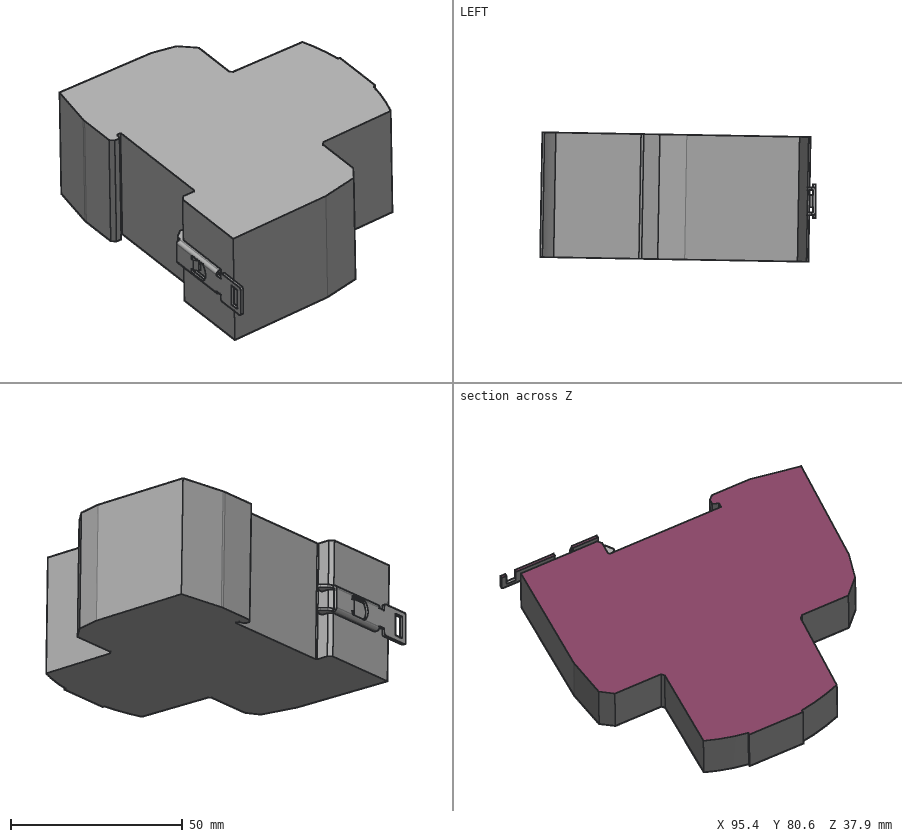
import cadquery as cq
import math

TILT_DEG = 1.0
HOUSING_DEPTH = 36.51
SIDE_DRAFT = math.tan(math.radians(1.0))

SLOT_LEFT_X = -17.65
SLOT_RIGHT_X = 18.83
SLOT_FLOOR_CHAMFER = 0.35
LIP_TIP_X = -15.75
LIP_ROOT_Y = -1.25
LIP_TIP_Y = -1.85
LIP_CHAMFER = 1.2
LEFT_BASE_Y = -4.75
RIGHT_BASE_Y = -5.36
RIGHT_BASE_CHAMFER = 1.15
BASE_BREAK_X = -29.45
BASE_BREAK_RADIUS = 5.0
BASE_SLOPE = math.tan(math.radians(9.7))

LEFT_BASE_X = -44.85
RIGHT_BASE_X = 44.8
LEFT_FLANK_TOP_Y = 30.9
RIGHT_FLANK_TOP_Y = 28.7
LEFT_CORNER = (-42.5, 38.7)
RIGHT_CORNER = (41.9, 40.7)
SHOULDER_Y = 43.4
SHOULDER_EDGE_X = 37.95
TOWER_ROOT_HALF_WIDTH = 22.15
TOWER_ROOT_CHAMFER = 0.8
TOWER_EDGE_Y = 69.1
CROWN_RADIUS = 62.0
CAP_HALF_WIDTH = 8.75
CAP_Y = 73.084

SHEET = 0.9
CLIP_MID_Z = 17.65
CLIP_OUTER_Y = -7.54
CHANNEL_START_X = 19.1
CHANNEL_END_X = 38.6
CHANNEL_WIDTH = 8.25
BEND_RADIUS = 1.1
HOOK_TOP_Y = -2.15
HOOK_BOTTOM_Y = -6.3
HOOK_TOP_X = 17.4
NOSE_UPPER = (16.3, -2.6)
NOSE_TIP = (15.62, -3.35)
NOSE_LOWER = (15.95, -4.0)
HEEL_START = (17.2, -5.6)
HEEL_MID = (17.9, -6.1)
HEEL_END_X = 18.6
NECK_WIDTH = 5.7
TAB_START_X = 40.8
TAB_END_X = 50.54
TAB_WIDTH = 9.9
TAB_CORNER_RADIUS = 0.7
GRIP_START_X = 45.85
GRIP_LENGTH = 3.0
GRIP_WIDTH = 6.8
GRIP_CORNER_RADIUS = 0.2

OPENING_START_X = 26.3
OPENING_END_X = 33.35
OPENING_ARC_START_X = 31.8
TONGUE_START_X = 27.2
TONGUE_WIDTH = 3.6
TONGUE_LENGTH = 1.3
TONGUE_RISE = 1.1
RELIEF_RADIUS = 0.6


def make_housing():
    tower_edge_x = TOWER_ROOT_HALF_WIDTH - (TOWER_EDGE_Y - SHOULDER_Y) * SIDE_DRAFT
    crown_centre_y = TOWER_EDGE_Y - math.sqrt(CROWN_RADIUS**2 - tower_edge_x**2)

    def crown_y(x):
        return crown_centre_y + math.sqrt(CROWN_RADIUS**2 - x**2)

    crown_mid_x = (tower_edge_x + CAP_HALF_WIDTH) / 2
    tower_root_y = SHOULDER_Y + TOWER_ROOT_CHAMFER
    shoulder_inner_x = TOWER_ROOT_HALF_WIDTH + TOWER_ROOT_CHAMFER
    left_base_corner_y = LEFT_BASE_Y + (BASE_BREAK_X - LEFT_BASE_X) * BASE_SLOPE
    left_flank_top_x = LEFT_BASE_X + (LEFT_FLANK_TOP_Y - left_base_corner_y) * SIDE_DRAFT
    right_flank_top_x = RIGHT_BASE_X - (RIGHT_FLANK_TOP_Y - RIGHT_BASE_Y) * SIDE_DRAFT

    housing = (
        cq.Workplane("XY")
        .moveTo(SLOT_LEFT_X, 0)
        .lineTo(SLOT_LEFT_X, LIP_ROOT_Y)
        .lineTo(LIP_TIP_X, LIP_TIP_Y)
        .lineTo(LIP_TIP_X, LEFT_BASE_Y + LIP_CHAMFER)
        .lineTo(LIP_TIP_X - LIP_CHAMFER, LEFT_BASE_Y)
        .lineTo(BASE_BREAK_X, LEFT_BASE_Y)
        .lineTo(LEFT_BASE_X, left_base_corner_y)
        .lineTo(left_flank_top_x, LEFT_FLANK_TOP_Y)
        .lineTo(*LEFT_CORNER)
        .lineTo(-SHOULDER_EDGE_X, SHOULDER_Y)
        .lineTo(-shoulder_inner_x, SHOULDER_Y)
        .lineTo(-TOWER_ROOT_HALF_WIDTH, tower_root_y)
        .lineTo(-tower_edge_x, TOWER_EDGE_Y)
        .threePointArc((-crown_mid_x, crown_y(crown_mid_x)), (-CAP_HALF_WIDTH, crown_y(CAP_HALF_WIDTH)))
        .lineTo(-CAP_HALF_WIDTH, CAP_Y)
        .lineTo(CAP_HALF_WIDTH, CAP_Y)
        .lineTo(CAP_HALF_WIDTH, crown_y(CAP_HALF_WIDTH))
        .threePointArc((crown_mid_x, crown_y(crown_mid_x)), (tower_edge_x, TOWER_EDGE_Y))
        .lineTo(TOWER_ROOT_HALF_WIDTH, tower_root_y)
        .lineTo(shoulder_inner_x, SHOULDER_Y)
        .lineTo(SHOULDER_EDGE_X, SHOULDER_Y)
        .lineTo(*RIGHT_CORNER)
        .lineTo(right_flank_top_x, RIGHT_FLANK_TOP_Y)
        .lineTo(RIGHT_BASE_X, RIGHT_BASE_Y)
        .lineTo(SLOT_RIGHT_X + RIGHT_BASE_CHAMFER, RIGHT_BASE_Y)
        .lineTo(SLOT_RIGHT_X, RIGHT_BASE_Y + RIGHT_BASE_CHAMFER)
        .lineTo(SLOT_RIGHT_X, -SLOT_FLOOR_CHAMFER)
        .lineTo(SLOT_RIGHT_X - SLOT_FLOOR_CHAMFER, 0)
        .close()
        .extrude(HOUSING_DEPTH)
    )
    base_break = cq.selectors.NearestToPointSelector((BASE_BREAK_X, LEFT_BASE_Y, HOUSING_DEPTH / 2))
    housing = housing.edges(base_break).fillet(BASE_BREAK_RADIUS)
    return housing.rotate((0, 0, 0), (1, 0, 0), TILT_DEG)


def web_box(x_start, x_end, width, thickness=SHEET):
    """Box centred on the clip in Z, rising in +Y from the outer face of the clip."""
    return (
        cq.Workplane("XY")
        .box(x_end - x_start, thickness, width, centered=(False, False, True))
        .translate((x_start, CLIP_OUTER_Y, CLIP_MID_Z))
    )


def make_channel():
    flange_height = HOOK_TOP_Y - CLIP_OUTER_Y
    channel = web_box(CHANNEL_START_X, CHANNEL_END_X, CHANNEL_WIDTH, flange_height)
    channel = channel.faces("<Y").edges("|X").fillet(BEND_RADIUS)
    hollow = web_box(CHANNEL_START_X, CHANNEL_END_X, CHANNEL_WIDTH - 2 * SHEET, flange_height)
    hollow = hollow.faces("<Y").edges("|X").fillet(BEND_RADIUS - SHEET)
    return channel.cut(hollow.translate((0, SHEET, 0)))


def make_hooks():
    """Side plates whose noses reach under the rail, one on each channel flange."""
    root_x = CHANNEL_START_X + BEND_RADIUS
    outline = (
        cq.Workplane("XY")
        .moveTo(root_x, HOOK_TOP_Y)
        .lineTo(HOOK_TOP_X, HOOK_TOP_Y)
        .lineTo(*NOSE_UPPER)
        .threePointArc(NOSE_TIP, NOSE_LOWER)
        .lineTo(*HEEL_START)
        .threePointArc(HEEL_MID, (HEEL_END_X, HOOK_BOTTOM_Y))
        .lineTo(root_x, HOOK_BOTTOM_Y)
        .close()
        .extrude(SHEET)
    )
    low = outline.translate((0, 0, CLIP_MID_Z - CHANNEL_WIDTH / 2))
    high = outline.translate((0, 0, CLIP_MID_Z + CHANNEL_WIDTH / 2 - SHEET))
    return low.union(high)


def make_pull_tab():
    tab = web_box(TAB_START_X, TAB_END_X, TAB_WIDTH).edges("|Y").fillet(TAB_CORNER_RADIUS)
    grip = web_box(GRIP_START_X, GRIP_START_X + GRIP_LENGTH, GRIP_WIDTH)
    grip = grip.edges("|Y").fillet(GRIP_CORNER_RADIUS)
    neck = web_box(CHANNEL_END_X - SHEET, TAB_START_X + TAB_CORNER_RADIUS, NECK_WIDTH)
    return tab.union(neck).cut(grip)


def make_web_opening():
    half_width = CHANNEL_WIDTH / 2 - BEND_RADIUS
    opening = (
        cq.Workplane("XZ", origin=(0, CLIP_OUTER_Y, CLIP_MID_Z))
        .moveTo(OPENING_START_X, -half_width)
        .lineTo(OPENING_ARC_START_X, -half_width)
        .threePointArc((OPENING_END_X, 0), (OPENING_ARC_START_X, half_width))
        .lineTo(OPENING_START_X, half_width)
        .close()
        .extrude(-SHEET)
    )
    tongue_root = web_box(OPENING_START_X, TONGUE_START_X, TONGUE_WIDTH)
    opening = opening.edges("|Y and <X").fillet(RELIEF_RADIUS)
    return opening.cut(tongue_root)


def make_tongue():
    tongue_end_x = TONGUE_START_X + TONGUE_LENGTH
    return (
        cq.Workplane("XY", origin=(0, 0, CLIP_MID_Z))
        .moveTo(TONGUE_START_X, CLIP_OUTER_Y)
        .lineTo(tongue_end_x, CLIP_OUTER_Y + TONGUE_RISE)
        .lineTo(tongue_end_x, CLIP_OUTER_Y + TONGUE_RISE + SHEET)
        .lineTo(TONGUE_START_X, CLIP_OUTER_Y + SHEET)
        .close()
        .extrude(TONGUE_WIDTH / 2, both=True)
    )


clip = make_channel().union(make_pull_tab()).cut(make_web_opening())
clip = clip.union(make_hooks()).union(make_tongue())
result = make_housing().union(clip)